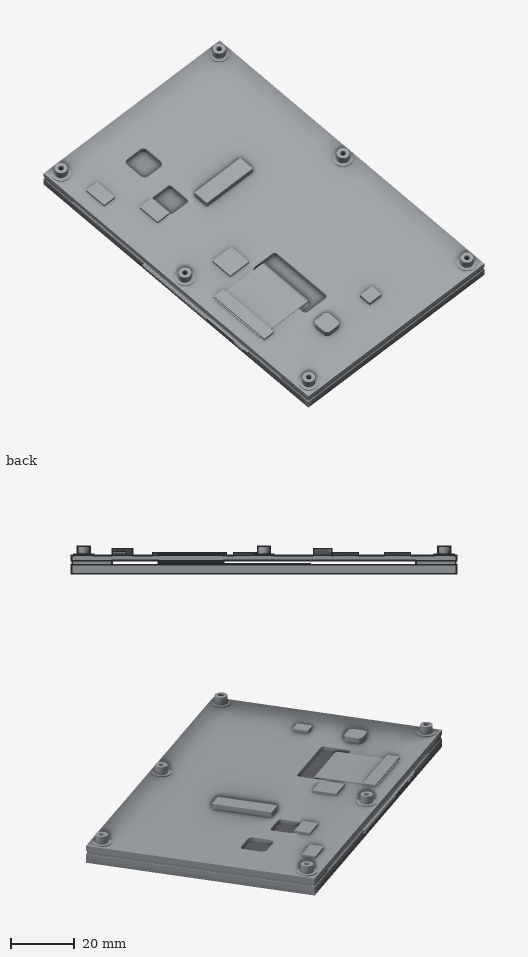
import cadquery as cq
import math


MODULE_LENGTH = 120.7
MODULE_WIDTH = 75.9
PANEL_THICKNESS = 2.9
SPACER_THICKNESS = 1.2
SPACER_LENGTH = 12.5
SPACER_EDGE_INSET = 0.2
BOARD_THICKNESS = 1.7
FLEX_THICKNESS = 0.2

BOARD_BOTTOM = PANEL_THICKNESS + SPACER_THICKNESS
BOARD_TOP = BOARD_BOTTOM + BOARD_THICKNESS
PANEL_FRONT_Y = -MODULE_WIDTH / 2

SHEET_X_MIN = -14.5
SHEET_X_MAX = 33.2
SHEET_DEPTH = 9.7
SHEET_OVERHANG = 0.6
TAB_OVERHANG = 0.8
TAB_OUTER_RADIUS = 0.6
TAB_X_RANGES = [(SHEET_X_MIN, 14.5), (27.4, 31.1)]
SHEET_BACK_Y = PANEL_FRONT_Y + SHEET_DEPTH

RIBBON_X_MIN = 12.7
RIBBON_X_MAX = SHEET_X_MAX
RIBBON_TOP = BOARD_TOP + FLEX_THICKNESS
RIBBON_FOLD_RADIUS = (RIBBON_TOP - PANEL_THICKNESS) / 2
RIBBON_FOLD_Y = -11.5
RIBBON_END_Y = -33.2
STIFFENER_LENGTH = 5.0
STIFFENER_THICKNESS = 0.1

CONNECTOR_X_MIN = 11.8
CONNECTOR_X_MAX = 34.9
CONNECTOR_Y_MIN = -32.8
CONNECTOR_Y_MAX = -28.7

LOW_HEIGHT = 0.8
MEDIUM_HEIGHT = 1.2
TALL_HEIGHT = 2.0

CHIPS = [
    (-45.9, -37.8, -33.2, -28.6, LOW_HEIGHT),
    (-29.6, -21.5, -25.6, -20.4, LOW_HEIGHT),
    (1.5, 9.5, -23.5, -15.6, LOW_HEIGHT),
    (43.2, 47.5, 0.6, 5.7, MEDIUM_HEIGHT),
    (-21.2, -15.6, -9.9, 9.9, TALL_HEIGHT),
]

ROUNDED_PART = (41.2, 47.5, -17.9, -11.8)
ROUNDED_PART_RADIUS = 1.5

WINDOWS = [
    (-46.3, -36.9, -16.7, -8.1, 1.7),
    (-29.9, -21.0, -20.4, -12.3, 1.0),
    (11.8, 36.1, -16.4, -6.5, 1.2),
]

STANDOFF_EDGE_DISTANCE = 3.9
STANDOFF_COLUMN_PITCH = MODULE_LENGTH / 2 - STANDOFF_EDGE_DISTANCE
STANDOFF_ROW_Y = MODULE_WIDTH / 2 - STANDOFF_EDGE_DISTANCE
FLANGE_DIAMETER = 6.3
FLANGE_THICKNESS = 0.4
STANDOFF_DIAMETER = 4.0
STANDOFF_HEIGHT = 2.9
BORE_DIAMETER = 1.8
BORE_DEPTH = 2.9
DRILL_POINT_ANGLE = 118.0


def block(x_min, x_max, y_min, y_max, z_min, height):
    """Rectangular block given by its limits in X and Y, its base and its height."""
    base = cq.Workplane("XY", origin=(x_min, y_min, z_min))
    return base.box(x_max - x_min, y_max - y_min, height, centered=False)


def rounded_block(x_min, x_max, y_min, y_max, radius, z_min, height):
    """Block with its four upright edges rounded."""
    return block(x_min, x_max, y_min, y_max, z_min, height).edges("|Z").fillet(radius)


def slab(z_min, thickness):
    """Plate covering the full outline of the module."""
    return cq.Workplane("XY").workplane(offset=z_min).rect(MODULE_LENGTH, MODULE_WIDTH).extrude(thickness)


def fold(x_min, x_max, tangent_y, z_min, outer_radius, direction):
    """Half-round bend of the flex; direction is +1 to bulge toward +Y, -1 toward -Y."""
    inner_radius = outer_radius - FLEX_THICKNESS
    centre_z = z_min + outer_radius
    return (
        cq.Workplane("YZ", origin=(x_min, tangent_y, centre_z))
        .moveTo(0, -outer_radius)
        .threePointArc((direction * outer_radius, 0), (0, outer_radius))
        .lineTo(0, inner_radius)
        .threePointArc((direction * inner_radius, 0), (0, -inner_radius))
        .close()
        .extrude(x_max - x_min)
    )


def ribbon_end_block():
    """Stiffened end of the ribbon; also the passage it fills in the connector."""
    stiffened_thickness = FLEX_THICKNESS + STIFFENER_THICKNESS
    y_max = RIBBON_END_Y + STIFFENER_LENGTH
    return block(RIBBON_X_MIN, RIBBON_X_MAX, RIBBON_END_Y, y_max, BOARD_TOP, stiffened_thickness)


def make_spacer(x_min):
    spacer_y = MODULE_WIDTH / 2 - SPACER_EDGE_INSET
    return block(x_min, x_min + SPACER_LENGTH, -spacer_y, spacer_y, PANEL_THICKNESS, SPACER_THICKNESS)


def make_flex_sheet():
    """Sheet on the panel with tabs that bend down over the front edge into the panel side."""
    sheet_front_y = PANEL_FRONT_Y - SHEET_OVERHANG
    sheet = block(SHEET_X_MIN, SHEET_X_MAX, sheet_front_y, SHEET_BACK_Y, PANEL_THICKNESS, FLEX_THICKNESS)
    bend_y = PANEL_FRONT_Y - TAB_OVERHANG + TAB_OUTER_RADIUS
    tab_bottom = PANEL_THICKNESS + FLEX_THICKNESS - 2 * TAB_OUTER_RADIUS
    for x_min, x_max in TAB_X_RANGES:
        bend = fold(x_min, x_max, bend_y, tab_bottom, TAB_OUTER_RADIUS, -1)
        lower_leg = block(x_min, x_max, bend_y, PANEL_FRONT_Y, tab_bottom, FLEX_THICKNESS)
        sheet = sheet.union(bend).union(lower_leg)
    return sheet


def make_ribbon():
    """Ribbon running under the board, folded up through the window and back over its top."""
    tangent_y = RIBBON_FOLD_Y - RIBBON_FOLD_RADIUS
    lower_leg = block(RIBBON_X_MIN, RIBBON_X_MAX, SHEET_BACK_Y, tangent_y, PANEL_THICKNESS, FLEX_THICKNESS)
    bend = fold(RIBBON_X_MIN, RIBBON_X_MAX, tangent_y, PANEL_THICKNESS, RIBBON_FOLD_RADIUS, 1)
    upper_leg = block(RIBBON_X_MIN, RIBBON_X_MAX, RIBBON_END_Y, tangent_y, BOARD_TOP, FLEX_THICKNESS)
    return lower_leg.union(bend).union(upper_leg).union(ribbon_end_block())


def make_display():
    display = slab(0, PANEL_THICKNESS)
    spacer_outer_x = MODULE_LENGTH / 2 - SPACER_EDGE_INSET
    for spacer_x in (-spacer_outer_x, spacer_outer_x - SPACER_LENGTH):
        display = display.union(make_spacer(spacer_x))
    return display.union(make_flex_sheet()).union(make_ribbon())


def make_connector():
    """Connector housing with a passage that the stiffened ribbon end fills."""
    housing = block(CONNECTOR_X_MIN, CONNECTOR_X_MAX, CONNECTOR_Y_MIN, CONNECTOR_Y_MAX, BOARD_TOP, LOW_HEIGHT)
    return housing.cut(ribbon_end_block())


def make_standoff(x, y):
    """Flanged standoff with a blind bore ending in a drill point."""
    bore_radius = BORE_DIAMETER / 2
    point_depth = bore_radius / math.tan(math.radians(DRILL_POINT_ANGLE / 2))
    bore = (
        cq.Workplane("XZ")
        .moveTo(0, STANDOFF_HEIGHT)
        .lineTo(bore_radius, STANDOFF_HEIGHT)
        .lineTo(bore_radius, STANDOFF_HEIGHT - BORE_DEPTH + point_depth)
        .lineTo(0, STANDOFF_HEIGHT - BORE_DEPTH)
        .close()
        .revolve(360, (0, 0), (0, 1))
    )
    flange = cq.Workplane("XY").circle(FLANGE_DIAMETER / 2).extrude(FLANGE_THICKNESS)
    post = cq.Workplane("XY").circle(STANDOFF_DIAMETER / 2).extrude(STANDOFF_HEIGHT)
    return flange.union(post).cut(bore).translate((x, y, BOARD_TOP))


def make_board():
    board = slab(BOARD_BOTTOM, BOARD_THICKNESS)
    for x_min, x_max, y_min, y_max, radius in WINDOWS:
        board = board.cut(rounded_block(x_min, x_max, y_min, y_max, radius, BOARD_BOTTOM, BOARD_THICKNESS))
    for x_min, x_max, y_min, y_max, height in CHIPS:
        board = board.union(block(x_min, x_max, y_min, y_max, BOARD_TOP, height))
    board = board.union(rounded_block(*ROUNDED_PART, ROUNDED_PART_RADIUS, BOARD_TOP, TALL_HEIGHT))
    board = board.union(make_connector())
    for column in (-1, 0, 1):
        for row in (-1, 1):
            board = board.union(make_standoff(column * STANDOFF_COLUMN_PITCH, row * STANDOFF_ROW_Y))
    return board


display = make_display()
board = make_board()
result = cq.Compound.makeCompound([display.val(), board.val()])